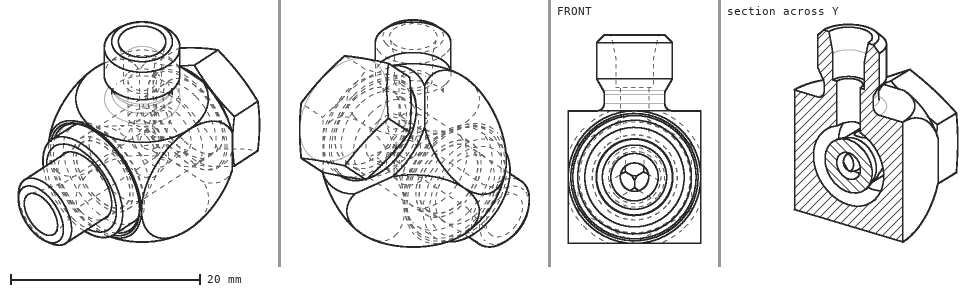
import cadquery as cq
import math


block_side = 14.0
half_side = block_side / 2
front_y = -half_side
rear_y = 6.5
bore_dia = 9.0

recess_dia = 13.0
recess_depth = 1.2
recess_fillet = 0.5
recess_chamfer = 0.2

stem_height = 8.0
stem_dia = 8.0
stem_chamfer = 0.8
stem_thread_bottom = 3.37
neck_dia = 6.4
neck_cone_angle = 30.0
neck_radius = 0.8
stem_cone_dia = 5.0
stem_cone_angle = 12.0
tube_bore_dia = 4.0
tube_bore_depth = 5.5
flow_dia = 3.0

thread_dia = 8.0
thread_length = 6.02
thread_chamfer = 0.6
shank_dia = 8.95
waist_dia = 5.5
waist_start_y = 1.17
waist_end_y = 4.5
waist_cone_angle = 25.0
waist_blend_length = 1.78
hex_flats = 12.0
hex_height = 4.0
hex_sides = 6
hex_chamfer_angle = 15.0
inlet_dia = 5.0
inlet_cone_angle = 12.0
drill_half_angle = 59.0
cross_hole_dia = 2.0
cross_hole_length = 4.5
cross_hole_count = 3
cross_hole_y = 1.32
cross_hole_tilt = 30.0
flow_end_gap = 0.45

ring_dia = 12.0
front_ring_reach = 2.0
front_ring_bore = 8.1
front_edge_dia = 10.5
front_edge_bevel = 0.19
front_cone_depth = 0.48
rear_ring_height = 1.0
rear_ring_chamfer = 0.15

recess_floor_y = front_y + recess_depth
front_ring_y = front_y - front_ring_reach
tip_y = front_ring_y - thread_length
head_y = rear_y + rear_ring_height
head_end_y = head_y + hex_height


def revolve_profile(profile):
    return profile.close().revolve(360, (0, 0, 0), (0, 1, 0))


def make_block():
    ball = cq.Workplane("XY").sphere(half_side * math.sqrt(2))
    box = cq.Workplane("XY").box(block_side, rear_y - front_y, block_side)
    return box.translate((0, (front_y + rear_y) / 2, 0)).intersect(ball)


def make_stem():
    top_z = half_side + stem_height
    thread_r = stem_dia / 2
    neck_r = neck_dia / 2
    slope = math.radians(neck_cone_angle)
    thread_bottom_z = half_side + stem_thread_bottom
    corner_z = thread_bottom_z - (thread_r - neck_r) / math.tan(slope)
    blend_reach = neck_radius * math.tan(slope / 2)
    cone_end = (neck_r + blend_reach * math.sin(slope), corner_z + blend_reach * math.cos(slope))
    neck_top = (neck_r, corner_z - blend_reach)
    neck_bottom = (neck_r, half_side + neck_radius)
    foot = (neck_r + neck_radius, half_side)
    return revolve_profile(
        cq.Workplane("XZ")
        .moveTo(0, 0)
        .lineTo(neck_r, 0)
        .lineTo(neck_r, half_side)
        .lineTo(*foot)
        .radiusArc(neck_bottom, neck_radius)
        .lineTo(*neck_top)
        .radiusArc(cone_end, neck_radius)
        .lineTo(thread_r, thread_bottom_z)
        .lineTo(thread_r, top_z - stem_chamfer)
        .lineTo(thread_r - stem_chamfer, top_z)
        .lineTo(0, top_z)
    )


def make_stem_bore():
    top_z = half_side + stem_height
    cone_depth = (stem_cone_dia - tube_bore_dia) / 2 / math.tan(math.radians(stem_cone_angle))
    return revolve_profile(
        cq.Workplane("XZ")
        .moveTo(0, 0)
        .lineTo(flow_dia / 2, 0)
        .lineTo(flow_dia / 2, top_z - tube_bore_depth)
        .lineTo(tube_bore_dia / 2, top_z - tube_bore_depth)
        .lineTo(tube_bore_dia / 2, top_z - cone_depth)
        .lineTo(stem_cone_dia / 2, top_z)
        .lineTo(0, top_z)
    )


def make_housing_bore():
    length = rear_y - front_y
    return cq.Workplane("XZ", origin=(0, rear_y, 0)).circle(bore_dia / 2).extrude(length)


def make_recess():
    recess_r = recess_dia / 2
    return revolve_profile(
        cq.Workplane("XY")
        .moveTo(0, front_y)
        .lineTo(recess_r + recess_chamfer, front_y)
        .lineTo(recess_r, front_y + recess_chamfer)
        .lineTo(recess_r, recess_floor_y - recess_fillet)
        .radiusArc((recess_r - recess_fillet, recess_floor_y), -recess_fillet)
        .lineTo(0, recess_floor_y)
    )


def make_housing():
    body = make_block().union(make_stem())
    body = body.cut(make_housing_bore())
    body = body.cut(make_recess())
    return body.cut(make_stem_bore())


def make_hex_head():
    corner_dia = hex_flats / math.cos(math.pi / hex_sides)
    head = (
        cq.Workplane("XZ", origin=(0, head_y, 0))
        .transformed(rotate=(0, 0, 90))
        .polygon(hex_sides, corner_dia)
        .extrude(-hex_height)
    )
    flat_r = hex_flats / 2
    corner_r = corner_dia / 2
    bevel = (corner_r - flat_r) * math.tan(math.radians(hex_chamfer_angle))
    envelope = revolve_profile(
        cq.Workplane("XY")
        .moveTo(0, head_y)
        .lineTo(flat_r, head_y)
        .lineTo(corner_r, head_y + bevel)
        .lineTo(corner_r, head_end_y - bevel)
        .lineTo(flat_r, head_end_y)
        .lineTo(0, head_end_y)
    )
    return head.intersect(envelope)


def make_bolt_shaft():
    thread_r = thread_dia / 2
    shank_r = shank_dia / 2
    waist_r = waist_dia / 2
    slope = math.radians(waist_cone_angle)
    blend_radius = waist_blend_length / math.sin(slope)
    blend_start_y = waist_start_y - waist_blend_length
    blend_start_r = waist_r + blend_radius * (1 - math.cos(slope))
    cone_start_y = blend_start_y - (shank_r - blend_start_r) / math.tan(slope)
    return revolve_profile(
        cq.Workplane("XY")
        .moveTo(0, tip_y)
        .lineTo(thread_r - thread_chamfer, tip_y)
        .lineTo(thread_r, tip_y + thread_chamfer)
        .lineTo(thread_r, recess_floor_y)
        .lineTo(shank_r, recess_floor_y)
        .lineTo(shank_r, cone_start_y)
        .lineTo(blend_start_r, blend_start_y)
        .radiusArc((waist_r, waist_start_y), -blend_radius)
        .lineTo(waist_r, waist_end_y)
        .lineTo(shank_r, waist_end_y)
        .lineTo(shank_r, head_y)
        .lineTo(0, head_y)
    )


def make_bolt_bore():
    cone_depth = (inlet_dia - flow_dia) / 2 / math.tan(math.radians(inlet_cone_angle))
    flow_end_y = cross_hole_y + flow_end_gap
    drill_tip = flow_dia / 2 / math.tan(math.radians(drill_half_angle))
    return revolve_profile(
        cq.Workplane("XY")
        .moveTo(0, tip_y)
        .lineTo(inlet_dia / 2, tip_y)
        .lineTo(flow_dia / 2, tip_y + cone_depth)
        .lineTo(flow_dia / 2, flow_end_y)
        .lineTo(0, flow_end_y + drill_tip)
    )


def make_cross_hole(angle):
    hole = cq.Workplane("XY").circle(cross_hole_dia / 2).extrude(cross_hole_length)
    hole = hole.rotate((0, 0, 0), (1, 0, 0), -cross_hole_tilt)
    return hole.rotate((0, 0, 0), (0, 1, 0), angle).translate((0, cross_hole_y, 0))


def make_bolt():
    bolt = make_bolt_shaft().union(make_hex_head()).cut(make_bolt_bore())
    for index in range(cross_hole_count):
        bolt = bolt.cut(make_cross_hole(index * 360 / cross_hole_count))
    return bolt


def make_front_ring():
    bore_r = front_ring_bore / 2
    return revolve_profile(
        cq.Workplane("XY")
        .moveTo(bore_r, recess_floor_y)
        .lineTo(ring_dia / 2, recess_floor_y)
        .lineTo(ring_dia / 2, front_ring_y + front_edge_bevel)
        .lineTo(front_edge_dia / 2, front_ring_y)
        .lineTo(bore_r, front_ring_y + front_cone_depth)
    )


def make_rear_ring():
    ring_r = ring_dia / 2
    return revolve_profile(
        cq.Workplane("XY")
        .moveTo(bore_dia / 2, rear_y)
        .lineTo(ring_r - rear_ring_chamfer, rear_y)
        .lineTo(ring_r, rear_y + rear_ring_chamfer)
        .lineTo(ring_r, head_y)
        .lineTo(bore_dia / 2, head_y)
    )


housing = make_housing()
bolt = make_bolt()
front_ring = make_front_ring()
rear_ring = make_rear_ring()

result = cq.Compound.makeCompound([housing.val(), bolt.val(), front_ring.val(), rear_ring.val()])